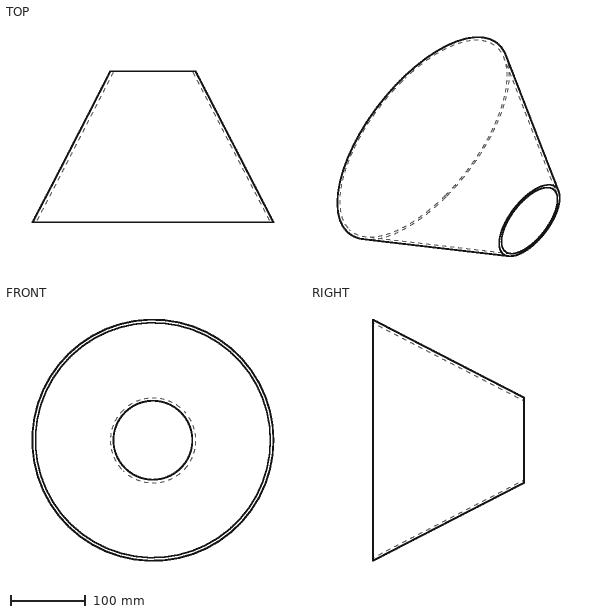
import cadquery as cq

large_diameter = 324.0
small_diameter = 114.3
length = 203.0
large_bore = 315.0
small_bore = 105.5

front_y = -length / 2
back_y = length / 2

wall_profile = (
    cq.Workplane("XY")
    .moveTo(large_bore / 2, front_y)
    .lineTo(large_diameter / 2, front_y)
    .lineTo(small_diameter / 2, back_y)
    .lineTo(small_bore / 2, back_y)
    .close()
)

result = wall_profile.revolve(360, (0, 0, 0), (0, 1, 0))